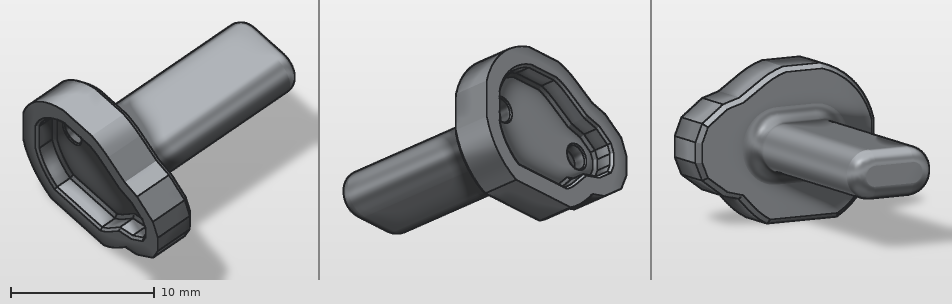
import cadquery as cq
import math

total_length = 17.3
flange_thickness = 3.3
main_radius = 5.97
left_flat = 5.8
top_flat = 5.78
bottom_flat = 5.28
back_chamfer = 0.35
bevel_angle = 45
upper_left_middle = 135
lower_left_middle = 225

lobe_x = 5.15
lobe_z = (top_flat - bottom_flat) / 2
lobe_shoulder = (6.31, 3.25)
lobe_corner = (8.0, 2.02)
lobe_nose = (8.53, 0.75)

upper_waist = (5.0, 3.88)
lower_waist = (5.09, -3.32)

rim_width = 1.31
rim_chamfer = 0.19
floor_chamfer = 0.25
pocket_depth = 1.63

hole_diameter = 1.78
hole_mouth_chamfer = 0.1
hole_depth = 1.0
hole_centres = [(-2.45, 1.0), (lobe_x, lobe_z)]

stud_x = 0.67
stud_width = 6.5
stud_height = 3.5
stud_fillet = 1.0
selection_margin = 0.09


def plane_at(y):
    """XZ plane at depth y whose normal points toward +Y; its local x runs toward +X and local y toward -Z."""
    return cq.Workplane(cq.Plane((0, y, 0), (1, 0, 0), (0, 1, 0)))


def on_round(angle, radius=main_radius):
    """Point of the main round, or of a concentric one, at an angle in degrees from +X."""
    a = math.radians(angle)
    return (radius * math.cos(a), radius * math.sin(a))


def half_chord(distance, radius):
    """Half the length of a flat cut across a round at a distance from its centre."""
    return math.sqrt(radius**2 - distance**2)


def tangent_angle(point, side):
    """Angle on the main round where a line from an outside point is tangent; side is 1 above, -1 below."""
    offset = math.acos(main_radius / math.hypot(*point))
    return math.degrees(math.atan2(point[1], point[0]) + side * offset)


def inward_normal(start, end):
    """Unit normal on the right of the line from start to end, the inside of a clockwise outline."""
    dx = end[0] - start[0]
    dz = end[1] - start[1]
    length = math.hypot(dx, dz)
    return (dz / length, -dx / length)


def inset_corner(before, corner, after, inset):
    """Corner of a clockwise polyline after both of its sides move inward by the inset."""
    n1 = inward_normal(before, corner)
    n2 = inward_normal(corner, after)
    reach = inset / (1 + n1[0] * n2[0] + n1[1] * n2[1])
    return (corner[0] + reach * (n1[0] + n2[0]), corner[1] + reach * (n1[1] + n2[1]))


def flip(point):
    """Local plane coordinates of an (x, z) point."""
    return (point[0], -point[1])


def lobe_path(upper_tangent, lower_tangent):
    """Clockwise polyline around the lobe, from one tangent point on the main round to the other."""
    half_lobe = [lobe_shoulder, lobe_corner, lobe_nose]
    above = [(x, lobe_z + z) for x, z in half_lobe]
    below = [(x, lobe_z - z) for x, z in reversed(half_lobe)]
    corners = [upper_waist] + above + below + [lower_waist]
    return [on_round(upper_tangent)] + corners + [on_round(lower_tangent)]


def flange_outline(y, inset=0):
    """Closed flange outline at depth y, every side moved inward by the inset, clockwise from the top flat."""
    radius = main_radius - inset
    top_z = top_flat - inset
    bottom_z = inset - bottom_flat
    left_x = inset - left_flat
    top = half_chord(top_z, radius)
    bottom = half_chord(bottom_z, radius)
    left = half_chord(left_x, radius)

    upper_tangent = tangent_angle(upper_waist, 1)
    lower_tangent = tangent_angle(lower_waist, -1)
    upper_mid = (math.degrees(math.atan2(top_z, top)) + upper_tangent) / 2
    lower_mid = (math.degrees(math.atan2(bottom_z, bottom)) + lower_tangent) / 2
    path = lobe_path(upper_tangent, lower_tangent)

    def arc(outline, middle_angle, end):
        return outline.threePointArc(flip(on_round(middle_angle, radius)), flip(end))

    outline = plane_at(y).moveTo(*flip((-top, top_z))).lineTo(*flip((top, top_z)))
    outline = arc(outline, upper_mid, on_round(upper_tangent, radius))
    for before, corner, after in zip(path, path[1:], path[2:]):
        outline = outline.lineTo(*flip(inset_corner(before, corner, after, inset)))
    outline = outline.lineTo(*flip(on_round(lower_tangent, radius)))
    outline = arc(outline, lower_mid, (bottom, bottom_z))
    outline = outline.lineTo(*flip((-bottom, bottom_z)))
    outline = arc(outline, lower_left_middle, (left_x, -left))
    outline = outline.lineTo(*flip((left_x, left)))
    outline = arc(outline, upper_left_middle, (-top, top_z))
    return outline.close()


def make_flange():
    """Flange plate with a bevelled back edge."""
    bevel_start = flange_thickness - back_chamfer
    plate = flange_outline(0).extrude(bevel_start)
    return plate.union(flange_outline(bevel_start).extrude(back_chamfer, taper=bevel_angle))


def make_stud():
    """Obround stud with a rounded tip."""
    stud = plane_at(flange_thickness).center(*flip((stud_x, lobe_z)))
    stud = stud.slot2D(stud_width, stud_height).extrude(total_length - flange_thickness)
    return stud.faces(">Y").edges().fillet(stud_fillet)


def make_pocket():
    """Pocket volume: straight walls, a bevelled floor edge and a flared rim."""
    wall_inset = rim_width + rim_chamfer
    bevel_start = pocket_depth - floor_chamfer
    walls = flange_outline(0, wall_inset).extrude(bevel_start)
    floor_bevel = flange_outline(bevel_start, wall_inset).extrude(floor_chamfer, taper=bevel_angle)
    rim = flange_outline(0, rim_width).extrude(rim_chamfer, taper=bevel_angle)
    return walls.union(floor_bevel).union(rim)


def make_holes():
    """Blind holes below the pocket floor, each with a countersunk mouth."""
    centres = [flip(c) for c in hole_centres]
    holes = plane_at(pocket_depth).pushPoints(centres).circle(hole_diameter / 2).extrude(hole_depth)
    mouth_radius = hole_diameter / 2 + hole_mouth_chamfer
    mouths = plane_at(pocket_depth).pushPoints(centres).circle(mouth_radius)
    return holes.union(mouths.extrude(hole_mouth_chamfer, taper=bevel_angle))


def stud_root():
    """Selector for the edges where the stud meets the flange."""
    half_x = stud_width / 2 + selection_margin
    half_z = stud_height / 2 + selection_margin
    return cq.selectors.BoxSelector(
        (stud_x - half_x, flange_thickness - selection_margin, lobe_z - half_z),
        (stud_x + half_x, flange_thickness + selection_margin, lobe_z + half_z),
        boundingbox=True,
    )


body = make_flange().union(make_stud()).edges(stud_root()).fillet(stud_fillet)
result = body.cut(make_pocket()).cut(make_holes())